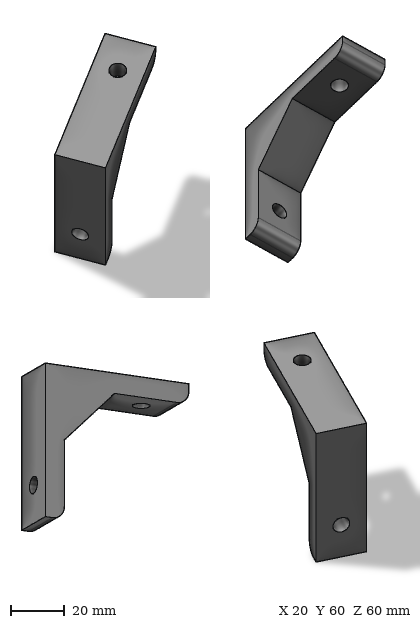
import cadquery as cq

leg_length = 60.0
width = 20.0
thickness = 8.0
gusset_leg = 21.0
tip_radius = 5.0
hole_diameter = 6.6
hole_from_tip = 15.0

gusset_end = thickness + gusset_leg
tip_flat = thickness - tip_radius
hole_position = leg_length - hole_from_tip


def bracket_body():
    """Right-angle profile with a gusset and rounded inner leg tips, extruded along X."""
    profile = (
        cq.Workplane("YZ")
        .lineTo(leg_length, 0)
        .lineTo(leg_length, -tip_flat)
        .radiusArc((leg_length - tip_radius, -thickness), tip_radius)
        .lineTo(gusset_end, -thickness)
        .lineTo(thickness, -gusset_end)
        .lineTo(thickness, -leg_length + tip_radius)
        .radiusArc((tip_flat, -leg_length), tip_radius)
        .lineTo(0, -leg_length)
        .close()
    )
    return profile.extrude(width / 2, both=True)


def hole_cutter(start, direction):
    """Cylinder that passes through one leg's thickness."""
    return cq.Workplane(
        cq.Solid.makeCylinder(hole_diameter / 2, thickness, cq.Vector(*start), cq.Vector(*direction))
    )


top_leg_hole = hole_cutter((0, hole_position, 0), (0, 0, -1))
upright_leg_hole = hole_cutter((0, 0, -hole_position), (0, 1, 0))

result = bracket_body().cut(top_leg_hole).cut(upright_leg_hole)